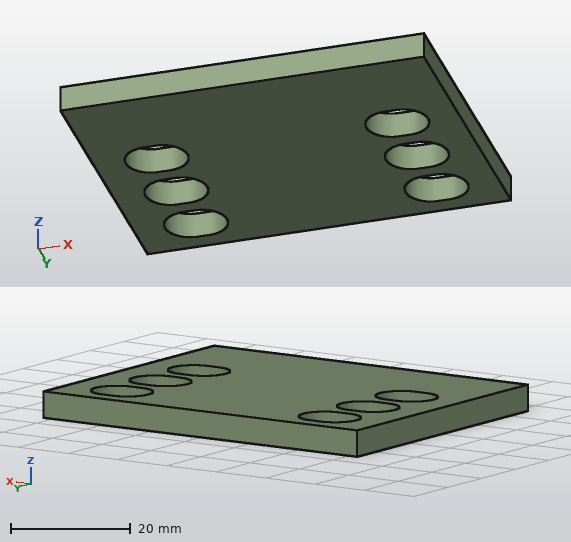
import cadquery as cq

plate_length = 63.5
plate_width = 50.8
plate_thickness = 4.5

slot_length = 10.8
slot_width = 8.65
column_spacing = 42.05
row_pitch = 11.4
rows = 3
middle_row_y = 6.35

plate = cq.Workplane("XY").box(plate_length, plate_width, plate_thickness)

result = (
    plate.faces(">Z")
    .workplane(origin=(0, middle_row_y, 0))
    .rarray(column_spacing, row_pitch, 2, rows)
    .slot2D(slot_length, slot_width)
    .cutThruAll()
)